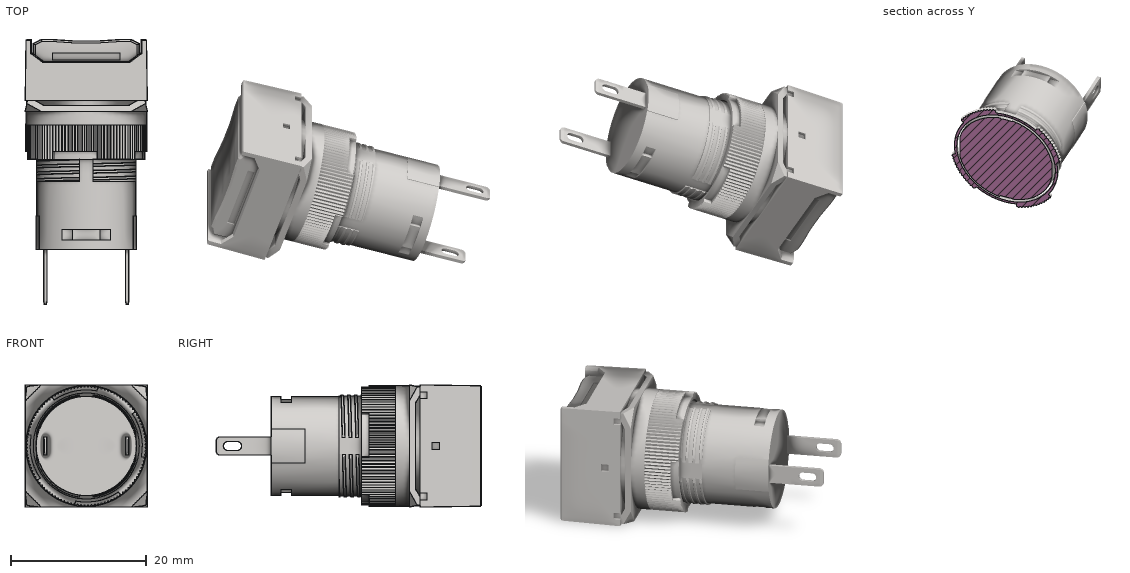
import cadquery as cq
import math


housing_width = 18.0
housing_front_width = 17.75
housing_front = 10.6
housing_rear = 1.6
front_edge_chamfer = 0.15

notch_floor = 7.38
notch_shoulder = 8.67
notch_half_width = 8.05
notch_floor_half_width = 6.3
notch_wall = 0.5
notch_bevel = 0.2

button_width = 15.6
button_height = button_width
button_corner_x = 6.6
button_crown_x = 5.0
button_corner_y = 10.0
button_dish_depth = 0.25
button_bevel = 0.3
button_slot_length = 10.0
button_slot_width = 1.0
button_slot_center_y = 8.1
button_slot_depth = 0.2

center_socket_size = 1.1
center_socket_y = 3.9
corner_socket_size = 1.0
corner_socket_z = 7.45
socket_depth = 0.5

flange_width = 18.0
flange_post_width = 17.3
flange_thickness = 0.9
flange_core_diameter = 17.6
post_inner_base = 6.25
post_inner_top = 7.5
corner_cut_leg = 2.4
corner_cut_height = 1.5

nut_diameter = 17.8
collar_length = 2.0
nut_end = 7.05
knurl_root_diameter = 17.3
knurl_teeth = 108
nut_bore_diameter = 15.6
nut_bore_depth = 1.15
notch_count = 4
nut_notch_diameter = 16.5
nut_notch_length = 1.15
nut_notch_start_angle = 79.0
nut_notch_sweep = 46.0

barrel_diameter = 14.6
barrel_end = 20.3
thread_crest_diameter = 15.15
thread_core_diameter = 14.86
thread_flat_width = 14.66
thread_end = 10.33
thread_pitch = 1.0
thread_phase = 7.89
thread_root_width = 0.75
thread_crest_width = 0.3
thread_embed = 0.15
thread_gap_side = 2.44
thread_gap_top = 1.92

pad_diameter = 14.8
pad_width = 5.06
pad_length = 4.95
label_width = 7.2
label_start = 17.35
label_length = 1.55
label_floor_z = 6.37
label_block_width = 4.1
label_block_z = 6.86

terminal_spacing = 12.04
terminal_thickness = 0.52
terminal_tip_thickness = 0.3
terminal_width = 2.72
terminal_end = 28.4
terminal_tip_length = 0.5
terminal_corner_radius = 0.6
eye_length = 2.65
eye_width = 1.3
eye_center = 26.0


def behind(distance):
    """Workplane a given distance behind the flange face, extruding towards -Y."""
    return cq.Workplane("XZ", origin=(0, -distance, 0))


def cylinder(diameter, start, end):
    """Cylinder on the part axis between two distances behind the flange face."""
    return behind(start).circle(diameter / 2).extrude(end - start)


def box(size_x, size_y, size_z, center):
    return cq.Workplane("XY").box(size_x, size_y, size_z).translate(center)


def make_notch():
    """Bevelled opening through the upper housing wall, wider at the outer surface."""
    beyond = 2 * housing_front
    outline = [
        (-notch_half_width, beyond),
        (-notch_half_width, notch_shoulder),
        (-notch_floor_half_width, notch_floor),
        (notch_floor_half_width, notch_floor),
        (notch_half_width, notch_shoulder),
        (notch_half_width, beyond),
    ]
    bottom = housing_front_width / 2 - notch_wall
    depth = housing_width / 2 - bottom
    taper = -math.degrees(math.atan2(notch_bevel, depth))
    return cq.Workplane("XY", origin=(0, 0, bottom)).polyline(outline).close().extrude(depth, taper=taper)


def make_housing():
    """Hollow square housing that widens slightly towards the rear."""
    housing = (
        behind(-housing_front)
        .rect(housing_front_width, housing_front_width)
        .workplane(offset=housing_front - housing_rear)
        .rect(housing_width, housing_width)
        .loft(ruled=True)
        .faces(">Y")
        .chamfer(front_edge_chamfer)
    )
    cavity_depth = housing_front - notch_floor
    cavity_height = housing_front_width - 2 * notch_wall
    cavity = behind(-housing_front).rect(2 * notch_half_width, cavity_height).extrude(cavity_depth)
    notch = make_notch()
    housing = housing.cut(cavity).cut(notch).cut(notch.mirror("XY"))
    socket_x = (housing_width - socket_depth) / 2
    for side in (-1, 1):
        center = (side * socket_x, center_socket_y, 0)
        housing = housing.cut(box(socket_depth, center_socket_size, center_socket_size, center))
        for corner in (-1, 1):
            center = (side * socket_x, housing_rear + corner_socket_size / 2, corner * corner_socket_z)
            housing = housing.cut(box(socket_depth, corner_socket_size, corner_socket_size, center))
    return housing


def make_button():
    """Button with sloped, bevelled shoulders and a shallow dish across its front."""
    half = button_width / 2
    button = (
        cq.Workplane("XY", origin=(0, 0, -button_height / 2))
        .moveTo(-half, notch_floor)
        .lineTo(-half, button_corner_y)
        .lineTo(-button_corner_x, housing_front)
        .lineTo(-button_crown_x, housing_front)
        .threePointArc((0, housing_front - button_dish_depth), (button_crown_x, housing_front))
        .lineTo(button_corner_x, housing_front)
        .lineTo(half, button_corner_y)
        .lineTo(half, notch_floor)
        .close()
        .extrude(button_height)
    )
    front_edges = cq.selectors.BoxSelector(
        (-button_width, notch_floor + button_bevel, -button_height),
        (button_width, 2 * housing_front, button_height),
    )
    button = button.edges("#Z").edges(front_edges).chamfer(button_bevel)
    slot_z = (button_height - button_slot_depth) / 2
    for side in (-1, 1):
        center = (0, button_slot_center_y, side * slot_z)
        button = button.cut(box(button_slot_length, button_slot_width, button_slot_depth, center))
    return button


def make_flange():
    """Tapered square flange with four posts that rise to the housing at its corners."""
    flange = (
        behind(-housing_rear)
        .rect(flange_post_width, flange_post_width)
        .workplane(offset=housing_rear)
        .rect(flange_width, flange_width)
        .loft()
    )
    relief = (
        cq.Workplane("XY", origin=(0, 0, -flange_width / 2))
        .polyline([
            (-post_inner_base, flange_thickness),
            (post_inner_base, flange_thickness),
            (post_inner_top, housing_rear),
            (-post_inner_top, housing_rear),
        ])
        .close()
        .extrude(flange_width)
    )
    relief = relief.union(relief.rotate((0, 0, 0), (0, 1, 0), 90))
    flange = flange.cut(relief)
    diagonal_corner = flange_width / math.sqrt(2)
    diagonal_start = diagonal_corner - corner_cut_leg / math.sqrt(2)
    wedge = (
        cq.Workplane("XY", origin=(0, 0, -flange_width / 2))
        .polyline([
            (diagonal_start, 0),
            (diagonal_corner, 0),
            (diagonal_corner, corner_cut_height),
        ])
        .close()
        .extrude(flange_width)
    )
    for quarter in range(4):
        flange = flange.cut(wedge.rotate((0, 0, 0), (0, 1, 0), 45 + 90 * quarter))
    return flange.union(cylinder(flange_core_diameter, -housing_rear, 0))


def make_nut():
    """Smooth collar and knurled nut with four arc notches in its rear end."""
    tip = nut_diameter / 2
    root = knurl_root_diameter / 2
    step = math.pi / knurl_teeth
    teeth = []
    for index in range(2 * knurl_teeth):
        radius = tip if index % 2 == 0 else root
        teeth.append((radius * math.cos(index * step), radius * math.sin(index * step)))
    nut = behind(collar_length).polyline(teeth).close().extrude(nut_end - collar_length)
    nut = nut.union(cylinder(nut_diameter, 0, collar_length))

    start = math.radians(nut_notch_start_angle)
    end = start + math.radians(nut_notch_sweep)
    reach = nut_diameter
    sector = (
        behind(nut_end - nut_notch_length)
        .polyline([
            (0, 0),
            (reach * math.cos(start), reach * math.sin(start)),
            (reach * math.cos(end), reach * math.sin(end)),
        ])
        .close()
        .extrude(nut_notch_length)
    )
    notch = sector.cut(cylinder(nut_notch_diameter, 0, nut_end))
    for index in range(notch_count):
        nut = nut.cut(notch.rotate((0, 0, 0), (0, 1, 0), index * 360 / notch_count))
    return nut.cut(cylinder(nut_bore_diameter, nut_end - nut_bore_depth, nut_end))


def make_thread_ridge(start_angle, sweep):
    """One helical ridge crossing the sector after start_angle, measured from +Z towards -X."""
    base = barrel_diameter / 2 - thread_embed
    crest = thread_crest_diameter / 2
    path = cq.Wire.makeHelix(thread_pitch, thread_pitch * sweep / 360, base)
    ridge = (
        cq.Workplane("XZ")
        .polyline([
            (base, -thread_root_width / 2),
            (crest, -thread_crest_width / 2),
            (crest, thread_crest_width / 2),
            (base, thread_root_width / 2),
        ])
        .close()
        .sweep(cq.Workplane(obj=path), isFrenet=True)
    )
    return ridge.rotate((0, 0, 0), (0, 0, 1), 90 + start_angle).rotate((0, 0, 0), (1, 0, 0), 90)


def make_thread():
    """Right-hand thread, interrupted by four lengthwise gaps, as a list of separate ridges."""
    half_gap_top = math.degrees(math.asin(thread_gap_top / barrel_diameter))
    half_gap_side = math.degrees(math.asin(thread_gap_side / barrel_diameter))
    sweep = 90 - half_gap_top - half_gap_side
    first_depth = nut_end - nut_bore_depth + thread_root_width / 2
    last_depth = thread_end + thread_root_width / 2
    envelope = behind(0).rect(thread_flat_width, nut_bore_diameter).extrude(thread_end)
    ridges = []
    for sector in range(4):
        start_angle = 90 * sector + (half_gap_top if sector % 2 == 0 else half_gap_side)
        ridge = make_thread_ridge(start_angle, sweep)
        phase = thread_phase + thread_pitch * start_angle / 360
        turn = math.ceil((first_depth - phase) / thread_pitch)
        depth = phase + turn * thread_pitch
        while depth < last_depth:
            placed = ridge.translate((0, -depth, 0))
            ridges.append(placed.intersect(envelope).val())
            depth += thread_pitch
    return ridges


def make_thread_core():
    """Sleeve under the thread, flattened on both sides and grooved on top and bottom."""
    start = nut_end - nut_bore_depth
    length = thread_end - start
    sleeve = cylinder(thread_core_diameter, start, thread_end)
    sleeve = sleeve.intersect(behind(start).rect(thread_flat_width, nut_diameter).extrude(length))
    return sleeve.cut(behind(start).rect(thread_gap_top, nut_diameter).extrude(length))


def make_barrel():
    barrel = cylinder(barrel_diameter, 0, barrel_end).union(make_thread_core())
    pad_start = barrel_end - pad_length
    pads = behind(pad_start).rect(nut_diameter, pad_width).extrude(pad_length)
    barrel = barrel.union(pads.intersect(cylinder(pad_diameter, pad_start, barrel_end)))
    label_y = -(label_start + label_length / 2)
    window_height = barrel_diameter / 2 - label_floor_z
    block_height = label_block_z - label_floor_z
    for side in (-1, 1):
        window_center = (0, label_y, side * (label_floor_z + window_height / 2))
        block_center = (0, label_y, side * (label_floor_z + block_height / 2))
        barrel = barrel.cut(box(label_width, label_length, window_height, window_center))
        barrel = barrel.union(box(label_block_width, label_length, block_height, block_center))
    return barrel


def make_terminal():
    """Flat solder tab with rounded corners, a thinned tip and an oblong eye."""
    length = terminal_end - barrel_end
    half = terminal_thickness / 2
    tip_half = terminal_tip_thickness / 2
    tip_start = terminal_end - terminal_tip_length
    tab = (
        cq.Workplane("XY", origin=(0, 0, -terminal_width / 2))
        .polyline([
            (-half, -barrel_end),
            (-half, -tip_start),
            (-tip_half, -terminal_end),
            (tip_half, -terminal_end),
            (half, -tip_start),
            (half, -barrel_end),
        ])
        .close()
        .extrude(terminal_width)
    )
    side_outline = (
        box(terminal_thickness, length, terminal_width, (0, -barrel_end - length / 2, 0))
        .edges("<Y and |X")
        .fillet(terminal_corner_radius)
    )
    eye = (
        cq.Workplane("YZ", origin=(-half, -eye_center, 0))
        .slot2D(eye_length, eye_width)
        .extrude(terminal_thickness)
    )
    return tab.intersect(side_outline).cut(eye)


threaded_barrel = cq.Workplane(obj=make_barrel().val().fuse(*make_thread()))
result = make_housing().union(make_button()).union(make_flange())
result = result.union(make_nut().union(threaded_barrel))
for side in (-1, 1):
    result = result.union(make_terminal().translate((side * terminal_spacing / 2, 0, 0)))